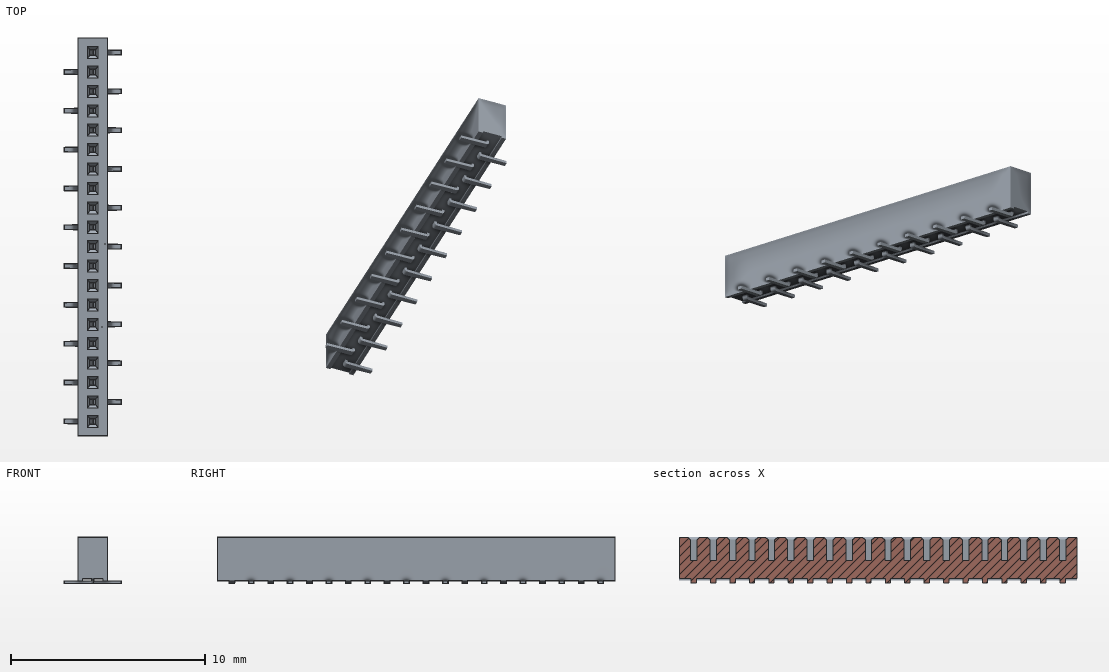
import cadquery as cq

PIN_COUNT = 20
PITCH = 1.0
END_MARGIN = 0.75

BODY_WIDTH = 1.53
BODY_LENGTH = (PIN_COUNT - 1) * PITCH + 2 * END_MARGIN
BODY_BOTTOM = 0.15
BODY_TOP = 2.4
CHANNEL_WIDTH = 1.05
CHANNEL_DEPTH = 0.1
CHANNEL_TOP = BODY_BOTTOM + CHANNEL_DEPTH

FUNNEL_LENGTH_X = 0.56
FUNNEL_LENGTH_Y = 0.62
FUNNEL_DEPTH = 0.14
HOLE_LENGTH_X = 0.31
HOLE_LENGTH_Y = 0.3
HOLE_DEPTH = 1.2

LEAD_SPAN = 2.95
LEAD_THICKNESS = BODY_BOTTOM
LEAD_BASE_WIDTH = 0.3
LEAD_TIP_WIDTH = 0.24
TAIL_THICKNESS = 0.12
BEND_RADIUS = 0.14
TINE_WIDTH = 0.25
TINE_THICKNESS = 0.12
TINE_GAP = 0.06
TINE_RECESS = 0.2
OVERLAP = 0.1


def pin_position(index):
    """Y coordinate of a pin, counted from the -Y end."""
    return (index - (PIN_COUNT - 1) / 2) * PITCH


def box(size_x, size_y, bottom, top, x=0.0, y=0.0):
    """Upright box centred on (x, y) between two heights."""
    return (
        cq.Workplane("XY")
        .workplane(offset=bottom)
        .center(x, y)
        .rect(size_x, size_y)
        .extrude(top - bottom)
    )


def make_body():
    """Housing block with a lengthwise channel in its underside."""
    block = box(BODY_WIDTH, BODY_LENGTH, BODY_BOTTOM, BODY_TOP)
    channel = box(CHANNEL_WIDTH, BODY_LENGTH, BODY_BOTTOM, CHANNEL_TOP)
    return block.cut(channel)


def make_socket(y):
    """Volume removed from the housing for one socket."""
    funnel = (
        cq.Workplane("XY")
        .workplane(offset=BODY_TOP)
        .center(0, y)
        .rect(FUNNEL_LENGTH_X, FUNNEL_LENGTH_Y)
        .workplane(offset=-FUNNEL_DEPTH)
        .rect(HOLE_LENGTH_X, HOLE_LENGTH_Y)
        .loft(ruled=True)
    )
    hole = box(HOLE_LENGTH_X, HOLE_LENGTH_Y, BODY_TOP - HOLE_DEPTH, BODY_TOP - FUNNEL_DEPTH, y=y)
    return funnel.union(hole)


def make_lead(y, side):
    """Flat lead towards +X (side = 1) or -X (side = -1), tapering to its tip."""
    heel = -side * TAIL_THICKNESS / 2
    tip = side * LEAD_SPAN / 2
    half_base = LEAD_BASE_WIDTH / 2
    half_tip = LEAD_TIP_WIDTH / 2
    heel_edge = "<X" if side > 0 else ">X"
    return (
        cq.Workplane("XY")
        .moveTo(heel, y - half_base)
        .lineTo(tip, y - half_tip)
        .lineTo(tip, y + half_tip)
        .lineTo(heel, y + half_base)
        .close()
        .extrude(LEAD_THICKNESS)
        .faces(heel_edge)
        .edges("<Z")
        .fillet(BEND_RADIUS)
    )


def make_tail(y):
    """Upright strip joining the lead to the roof of the channel."""
    return box(TAIL_THICKNESS, LEAD_BASE_WIDTH, LEAD_THICKNESS, CHANNEL_TOP + OVERLAP, y=y)


def make_tine(x, y):
    """Spring tine standing on the socket floor."""
    bottom = BODY_TOP - HOLE_DEPTH - OVERLAP
    top = BODY_TOP - FUNNEL_DEPTH - TINE_RECESS
    return box(TINE_THICKNESS, TINE_WIDTH, bottom, top, x, y)


def make_contact(y, side):
    """Separate pieces of one contact, later fused with the housing."""
    tine_offset = (TINE_GAP + TINE_THICKNESS) / 2
    pieces = [
        make_lead(y, side),
        make_tail(y),
        make_tine(-tine_offset, y),
        make_tine(tine_offset, y),
    ]
    return [piece.val() for piece in pieces]


def make_connector():
    """Housing with all sockets cut and all contacts fitted, leads alternating."""
    sockets = []
    contacts = []
    for index in range(PIN_COUNT):
        y = pin_position(index)
        side = -1 if index % 2 == 0 else 1
        sockets.append(make_socket(y).val())
        contacts.extend(make_contact(y, side))
    housing = make_body().val().cut(*sockets)
    return cq.Workplane(housing.fuse(*contacts))


result = make_connector()